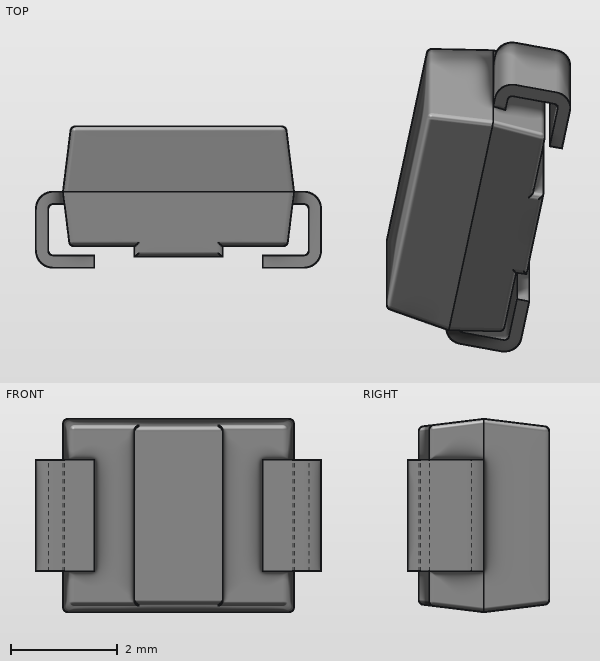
import cadquery as cq
import math

housing_width = 4.325
housing_height = 3.62
half_depth = 1.225
draft_angle = 7.0
edge_radius = 0.1

pad_width = 1.655
shoulder_depth = 1.025

overall_width = 5.34
lead_height = 2.075
lead_thickness = 0.235
lead_depth = 1.425
foot_length = 1.095
bend_radius = 0.325
inner_bend_radius = bend_radius - lead_thickness


def draft_inset(depth):
    """Distance a side wall has moved inward at a given depth."""
    return depth * math.tan(math.radians(draft_angle))


def round_edges(body, sharp_edges):
    """Fillet every edge of the body except the listed ones."""
    rounded = [
        edge
        for edge in body.edges().vals()
        if not any(edge.isSame(sharp) for sharp in sharp_edges)
    ]
    return body.newObject(rounded).fillet(edge_radius)


def make_rear_half():
    """Tapered block toward +Y with rounded corners and outer rim."""
    block = (
        cq.Workplane("ZX")
        .rect(housing_height, housing_width)
        .extrude(half_depth, taper=draft_angle)
    )
    return round_edges(block, block.faces("<Y").edges().vals())


def make_front_half():
    """Tapered block toward -Y, stepped back on both sides of the pad."""
    block = (
        cq.Workplane("XZ")
        .rect(housing_width, housing_height)
        .extrude(half_depth, taper=draft_angle)
    )
    step_profile = (
        cq.Workplane("XY")
        .moveTo(-housing_width / 2, 0)
        .lineTo(-housing_width / 2, -shoulder_depth)
        .lineTo(-pad_width / 2, -shoulder_depth)
        .lineTo(-pad_width / 2, -half_depth)
        .lineTo(pad_width / 2, -half_depth)
        .lineTo(pad_width / 2, -shoulder_depth)
        .lineTo(housing_width / 2, -shoulder_depth)
        .lineTo(housing_width / 2, 0)
        .close()
        .extrude(housing_height / 2, both=True)
    )
    stepped = block.intersect(step_profile)

    pad_side_edges = stepped.edges("|Z").edges(
        cq.selectors.BoxSelector(
            (-pad_width, -2 * half_depth, -housing_height),
            (pad_width, 0, housing_height),
        )
    )
    parting_edges = stepped.faces(">Y").edges()
    return round_edges(stepped, pad_side_edges.vals() + parting_edges.vals())


def make_lead(side, housing_half):
    """C-shaped lead on one side (-1 left, 1 right), ending on the housing wall."""
    outer_x = overall_width / 2
    inner_x = outer_x - lead_thickness
    arm_end_x = housing_width / 2 - draft_inset(lead_thickness) - edge_radius
    foot_end_x = outer_x - foot_length
    strip = (
        cq.Workplane("XY")
        .moveTo(side * arm_end_x, 0)
        .lineTo(side * (outer_x - bend_radius), 0)
        .radiusArc((side * outer_x, -bend_radius), side * bend_radius)
        .lineTo(side * outer_x, bend_radius - lead_depth)
        .radiusArc((side * (outer_x - bend_radius), -lead_depth), side * bend_radius)
        .lineTo(side * foot_end_x, -lead_depth)
        .lineTo(side * foot_end_x, lead_thickness - lead_depth)
        .lineTo(side * (inner_x - inner_bend_radius), lead_thickness - lead_depth)
        .radiusArc((side * inner_x, bend_radius - lead_depth), -side * inner_bend_radius)
        .lineTo(side * inner_x, -bend_radius)
        .radiusArc((side * (inner_x - inner_bend_radius), -lead_thickness), -side * inner_bend_radius)
        .lineTo(side * arm_end_x, -lead_thickness)
        .close()
        .extrude(lead_height / 2, both=True)
    )
    return strip.cut(housing_half)


rear_half = make_rear_half()
front_half = make_front_half()
leads = [make_lead(side, front_half) for side in (-1, 1)]

result = cq.Compound.makeCompound(
    [rear_half.val(), front_half.val(), *[lead.val() for lead in leads]]
)